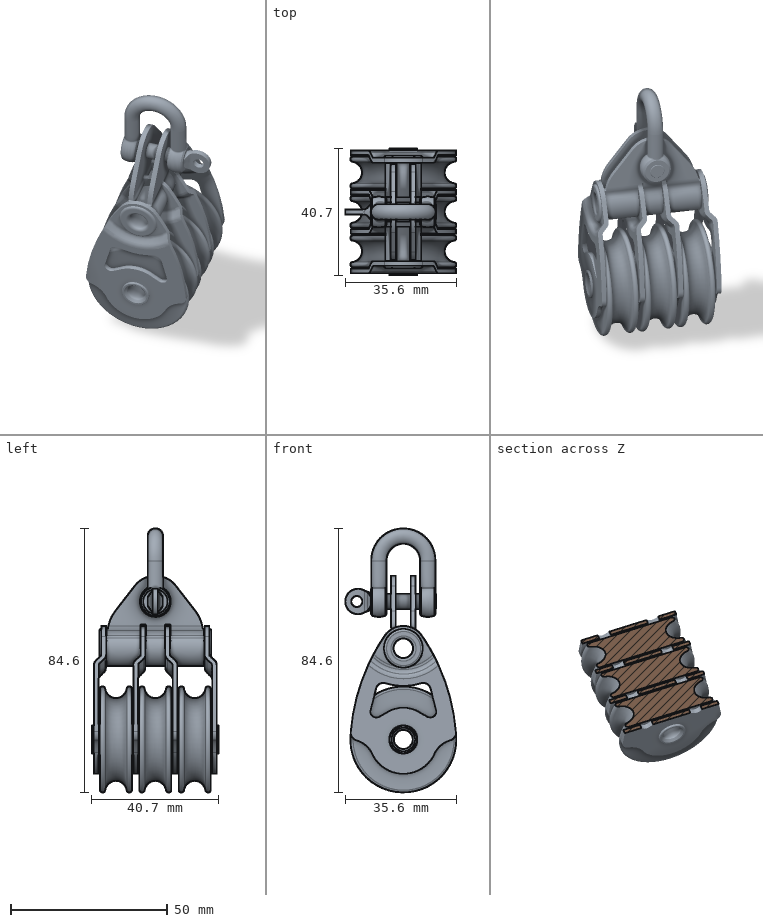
import cadquery as cq
import math


PICK_MARGIN = 0.1

SHEAVE_RADIUS = 17.0
SHEAVE_WIDTH = 10.3
SHEAVE_PITCH = 12.6
GROOVE_HALF_WIDTH = 3.4
GROOVE_DEPTH = 3.7
FLANGE_WIDTH = SHEAVE_WIDTH / 2 - GROOVE_HALF_WIDTH
RIM_RADIUS = 0.85

BLOCK_WIDTH = 40.7
AXLE_BORE = 6.0
AXLE_COUNTERSINK = 0.8
AXLE_HEAD_DIAMETER = 9.05
AXLE_HEAD_CHAMFER = 0.2
HUB_DIAMETER = 10.0

PLATE_THICKNESS = 1.5
PLATE_OFFSETS = (SHEAVE_PITCH / 2, 1.5 * SHEAVE_PITCH)
PLATE_JOG = 2.4
PLATE_TOP_RADIUS = 7.2
PLATE_TOP_TANGENT_ANGLE = 32.8
PLATE_HALF_WIDTH = 16.8
PLATE_SHOULDER_HEIGHT = 2.7
PLATE_BOTTOM_RADIUS = 11.0
PLATE_BOTTOM_TANGENT_ANGLE = 22.0
PLATE_SIDE_MIDDLE = (13.1, 19.4)
SHOULDER_MIDDLE = (16.4, 0.8)
SHOULDER_END = (15.4, -0.2)
WAIST_MIDDLE = (12.3, -1.7)
BEND_AXIS_HEIGHT = 36.2
BEND_START_RADIUS = 13.45
BEND_ANGLE = 45.0
BEND_INNER_RADIUS = 1.1
BEND_OUTER_RADIUS = 2.1

WINDOW_TOP_RADIUS = 19.1
WINDOW_TOP_HALF_WIDTH = 8.0
WINDOW_TOP_FILLET = 2.4
WINDOW_BOTTOM_RADIUS = 10.15
WINDOW_BOTTOM_HALF_WIDTH = 5.9
LOBE_X = 8.6
LOBE_Z = 9.0
LOBE_RADIUS = 1.95
LOBE_END_ANGLE = 50.0

TUBE_HEIGHT = 29.2
TUBE_DIAMETER = 8.2
TUBE_BORE = 6.2
TUBE_LENGTH = 35.9
TUBE_HEAD_DIAMETER = 12.4
TUBE_HEAD_FILLET = 0.8
TUBE_BORE_FILLET = 0.9

STRAP_THICKNESS = 1.6
STRAP_HALF_LENGTH = 15.65
EAR_OUTER_X = 4.0
EAR_BASE_HEIGHT = 35.4
EAR_BASE_HALF_WIDTH = 15.2
EAR_TOP_RADIUS = 8.3
EAR_EDGE_ANGLE = 37.8
EAR_EDGE_END_HEIGHT = 41.2
WRAP_END_ANGLE = 37.0
NECK_FLAT = 0.9
NECK_LEAN = 17.5
NECK_RADIUS = 1.7
SLOT_WIDTH = 1.8
SLOT_TOP = 36.8
SLOT_CORNER = 0.4

PIN_HEIGHT = 44.15
PIN_DIAMETER = 5.0
PIN_END_X = 10.6
PIN_END_CHAMFER = 0.3
BOW_WIRE = 5.0
BOW_RADIUS = 7.82
BOW_HEIGHT = 57.25
EYE_DIAMETER = 10.0
EYE_WIDTH = 5.2
EYE_CROWN_HALF_WIDTH = 2.1
EYE_CROWN_EDGE_RADIUS = 4.6
EYE_FACE_RADIUS = 3.9
JOINT_FILLET = 0.4
JOINT_DEPTH = 1.7
TAB_DIAMETER = 8.2
TAB_TIP_X = -18.6
TAB_CENTER_X = TAB_TIP_X + TAB_DIAMETER / 2
TAB_HOLE_X = -14.9
TAB_HOLE = 3.5
TAB_THICKNESS = 1.7
TAB_ROOT_DIAMETER = 5.5
TAB_TAPER_START = 1.3
FLARE_START_X = -12.5
FLARE_RADIUS = 1.3
FLARE_ANGLE = 45.0


def disc(diameter, y_start, y_end, z=0.0):
    """Cylinder along Y between two Y positions, on the plane X = 0."""
    plane = cq.Plane(origin=(0, y_start, z), xDir=(1, 0, 0), normal=(0, 1, 0))
    return cq.Workplane(plane).circle(diameter / 2).extrude(y_end - y_start)


def polar(radius, angle):
    """Point at an angle in degrees round the origin."""
    return (radius * math.cos(math.radians(angle)), radius * math.sin(math.radians(angle)))


def opposite(point):
    """The point mirrored to the other side of the vertical axis."""
    return (-point[0], point[1])


def make_sheave(y):
    """Grooved wheel with round flange rims, centred on a Y position."""
    groove_edge = SHEAVE_RADIUS - RIM_RADIUS
    half_width = SHEAVE_WIDTH / 2
    wheel = (
        cq.Workplane("XY")
        .moveTo(0, -half_width)
        .lineTo(groove_edge, -half_width)
        .threePointArc((SHEAVE_RADIUS, -half_width + FLANGE_WIDTH / 2), (groove_edge, -GROOVE_HALF_WIDTH))
        .threePointArc((SHEAVE_RADIUS - GROOVE_DEPTH, 0), (groove_edge, GROOVE_HALF_WIDTH))
        .threePointArc((SHEAVE_RADIUS, half_width - FLANGE_WIDTH / 2), (groove_edge, half_width))
        .lineTo(0, half_width)
        .close()
        .revolve(360, (0, 0, 0), (0, 1, 0))
    )
    return wheel.translate((0, y, 0))


def plate_outline():
    """Teardrop outline of a cheek plate, extruded through the whole block."""
    tangent_x, tangent_rise = polar(PLATE_TOP_RADIUS, PLATE_TOP_TANGENT_ANGLE)
    tangent_z = TUBE_HEIGHT + tangent_rise
    waist_x, waist_z = polar(PLATE_BOTTOM_RADIUS, -PLATE_BOTTOM_TANGENT_ANGLE)
    return (
        cq.Workplane("XZ", origin=(0, BLOCK_WIDTH / 2, 0))
        .moveTo(-tangent_x, tangent_z)
        .threePointArc((0, TUBE_HEIGHT + PLATE_TOP_RADIUS), (tangent_x, tangent_z))
        .threePointArc(PLATE_SIDE_MIDDLE, (PLATE_HALF_WIDTH, PLATE_SHOULDER_HEIGHT))
        .threePointArc(SHOULDER_MIDDLE, SHOULDER_END)
        .threePointArc(WAIST_MIDDLE, (waist_x, waist_z))
        .threePointArc((0, -PLATE_BOTTOM_RADIUS), (-waist_x, waist_z))
        .threePointArc(opposite(WAIST_MIDDLE), opposite(SHOULDER_END))
        .threePointArc(opposite(SHOULDER_MIDDLE), (-PLATE_HALF_WIDTH, PLATE_SHOULDER_HEIGHT))
        .threePointArc(opposite(PLATE_SIDE_MIDDLE), (-tangent_x, tangent_z))
        .close()
        .extrude(BLOCK_WIDTH)
    )


def plate_window():
    """Bean-shaped cutter above the axle, extruded through the whole block."""
    top_z = BEND_AXIS_HEIGHT - math.sqrt(WINDOW_TOP_RADIUS**2 - WINDOW_TOP_HALF_WIDTH**2)
    bottom_z = math.sqrt(WINDOW_BOTTOM_RADIUS**2 - WINDOW_BOTTOM_HALF_WIDTH**2)
    lobe_middle_x, lobe_middle_z = polar(LOBE_RADIUS, -LOBE_END_ANGLE)
    lobe_end = (LOBE_X - lobe_middle_x, LOBE_Z + lobe_middle_z)
    lobe_middle = (LOBE_X + lobe_middle_x, LOBE_Z + lobe_middle_z)
    window = (
        cq.Workplane("XZ", origin=(0, BLOCK_WIDTH / 2, 0))
        .moveTo(-WINDOW_TOP_HALF_WIDTH, top_z)
        .threePointArc((0, BEND_AXIS_HEIGHT - WINDOW_TOP_RADIUS), (WINDOW_TOP_HALF_WIDTH, top_z))
        .lineTo(LOBE_X + LOBE_RADIUS, LOBE_Z)
        .threePointArc(lobe_middle, lobe_end)
        .lineTo(WINDOW_BOTTOM_HALF_WIDTH, bottom_z)
        .threePointArc((0, WINDOW_BOTTOM_RADIUS), (-WINDOW_BOTTOM_HALF_WIDTH, bottom_z))
        .lineTo(*opposite(lobe_end))
        .threePointArc(opposite(lobe_middle), (-LOBE_X - LOBE_RADIUS, LOBE_Z))
        .close()
        .extrude(BLOCK_WIDTH)
    )
    top_corners = cq.selectors.BoxSelector(
        (-PLATE_HALF_WIDTH, -BLOCK_WIDTH, top_z - PICK_MARGIN),
        (PLATE_HALF_WIDTH, BLOCK_WIDTH, top_z + PICK_MARGIN),
    )
    return window.edges("|Y").edges(top_corners).fillet(WINDOW_TOP_FILLET)


def make_plate(lower_y):
    """Cheek plate on the +Y side, stepped towards Y = 0 at its top by a curved bend."""
    upper_y = lower_y - PLATE_JOG
    half = PLATE_THICKNESS / 2
    bend_end_radius = BEND_START_RADIUS + PLATE_JOG / math.tan(math.radians(BEND_ANGLE))
    back_shift = PLATE_THICKNESS * math.tan(math.radians(BEND_ANGLE / 2))
    outer_radius = BEND_AXIS_HEIGHT + PLATE_HALF_WIDTH
    sheet = (
        cq.Workplane("XY")
        .moveTo(0, upper_y + half)
        .lineTo(BEND_START_RADIUS, upper_y + half)
        .lineTo(bend_end_radius, lower_y + half)
        .lineTo(outer_radius, lower_y + half)
        .lineTo(outer_radius, lower_y - half)
        .lineTo(bend_end_radius + back_shift, lower_y - half)
        .lineTo(BEND_START_RADIUS + back_shift, upper_y - half)
        .lineTo(0, upper_y - half)
        .close()
        .revolve(360, (0, 0, 0), (0, 1, 0))
    )
    bends = (
        (BEND_START_RADIUS, BEND_INNER_RADIUS),
        (bend_end_radius, BEND_OUTER_RADIUS),
        (BEND_START_RADIUS + back_shift, BEND_OUTER_RADIUS),
        (bend_end_radius + back_shift, BEND_INNER_RADIUS),
    )
    for corner_radius, bend_radius in bends:
        circles = sheet.edges("%CIRCLE").vals()
        corner = [edge for edge in circles if abs(edge.radius() - corner_radius) < PICK_MARGIN]
        sheet = sheet.newObject(corner).fillet(bend_radius)
    return sheet.translate((0, 0, BEND_AXIS_HEIGHT)).intersect(plate_outline()).cut(plate_window())


def strap_section(depth):
    """Strap profile at a depth below its outer face, extruded along the head tube."""
    wrap_radius = TUBE_DIAMETER / 2 + STRAP_THICKNESS
    top = PIN_HEIGHT + EAR_TOP_RADIUS
    wrap_x, wrap_rise = polar(wrap_radius, WRAP_END_ANGLE)
    flat_x = wrap_x - NECK_FLAT * math.sin(math.radians(WRAP_END_ANGLE))
    flat_z = TUBE_HEIGHT + wrap_rise + NECK_FLAT * math.cos(math.radians(WRAP_END_ANGLE))
    center_x, center_rise = polar(NECK_RADIUS, WRAP_END_ANGLE)
    lean_x, lean_rise = polar(NECK_RADIUS, -NECK_LEAN)
    neck_x = flat_x + center_x - lean_x
    neck_z = flat_z + center_rise - lean_rise
    ear_bend_radius = (EAR_OUTER_X - neck_x) / (1 - math.cos(math.radians(NECK_LEAN)))
    ear_base_z = neck_z + ear_bend_radius * math.sin(math.radians(NECK_LEAN))
    stations = [
        (EAR_OUTER_X, top, 0),
        (EAR_OUTER_X, ear_base_z, 0),
        (neck_x, neck_z, -NECK_LEAN),
        (flat_x, flat_z, WRAP_END_ANGLE),
        (wrap_x, TUBE_HEIGHT + wrap_rise, WRAP_END_ANGLE),
    ]
    points = []
    for x, z, angle in stations:
        inset_x, inset_z = polar(depth, angle)
        points.append((x - inset_x, z - inset_z))
    ear_top, ear_base, neck, flat, wrap = points
    wrap_bottom = (0, TUBE_HEIGHT - wrap_radius + depth)
    left_top, left_base, left_neck, left_flat, left_wrap = [opposite(point) for point in points]
    return (
        cq.Workplane("XZ", origin=(0, STRAP_HALF_LENGTH, 0))
        .moveTo(*ear_top)
        .lineTo(*ear_base)
        .tangentArcPoint(neck, relative=False)
        .tangentArcPoint(flat, relative=False)
        .lineTo(*wrap)
        .threePointArc(wrap_bottom, left_wrap)
        .lineTo(*left_flat)
        .tangentArcPoint(left_neck, relative=False)
        .tangentArcPoint(left_base, relative=False)
        .lineTo(*left_top)
        .close()
        .extrude(2 * STRAP_HALF_LENGTH)
    )


def ear_outline():
    """Side outline of the strap: triangular ears above a full-length wrap."""
    edge_y, edge_rise = polar(EAR_TOP_RADIUS, EAR_EDGE_ANGLE)
    edge_z = PIN_HEIGHT + edge_rise
    edge_end_y = edge_y + (edge_z - EAR_EDGE_END_HEIGHT) * math.tan(math.radians(EAR_EDGE_ANGLE))
    arc_middle_y, arc_middle_rise = polar(EAR_TOP_RADIUS, (90 + EAR_EDGE_ANGLE) / 2)
    wrap_bottom = TUBE_HEIGHT - TUBE_DIAMETER
    return (
        cq.Workplane("YZ", origin=(-TUBE_DIAMETER, 0, 0))
        .moveTo(0, PIN_HEIGHT + EAR_TOP_RADIUS)
        .threePointArc((arc_middle_y, PIN_HEIGHT + arc_middle_rise), (edge_y, edge_z))
        .lineTo(edge_end_y, EAR_EDGE_END_HEIGHT)
        .tangentArcPoint((EAR_BASE_HALF_WIDTH, EAR_BASE_HEIGHT), relative=False)
        .lineTo(STRAP_HALF_LENGTH, EAR_BASE_HEIGHT)
        .lineTo(STRAP_HALF_LENGTH, wrap_bottom)
        .lineTo(0, wrap_bottom)
        .mirrorY()
        .extrude(2 * TUBE_DIAMETER)
    )


def make_strap():
    """Strap bent round the head tube, slotted for the inner cheek plates."""
    strap = strap_section(0).cut(strap_section(STRAP_THICKNESS)).intersect(ear_outline())
    slot_height = SLOT_TOP - TUBE_HEIGHT
    slot_y = PLATE_OFFSETS[0] - PLATE_JOG
    for side in (-1, 1):
        slot = (
            cq.Workplane("XY")
            .box(2 * TUBE_DIAMETER, SLOT_WIDTH, slot_height)
            .edges("|X and >Z")
            .fillet(SLOT_CORNER)
            .translate((0, side * slot_y, TUBE_HEIGHT + slot_height / 2))
        )
        strap = strap.cut(slot)
    pin_hole = (
        cq.Workplane("YZ", origin=(-TUBE_DIAMETER, 0, PIN_HEIGHT))
        .circle(PIN_DIAMETER / 2)
        .extrude(2 * TUBE_DIAMETER)
    )
    return strap.cut(pin_hole)


def bore_mouths(block, diameter, half_length, z):
    """The two end circles of a through bore along Y."""
    reach = diameter / 2 + PICK_MARGIN
    end = half_length + PICK_MARGIN
    mouths = cq.selectors.BoxSelector((-reach, -end, z - reach), (reach, end, z + reach), True)
    return block.edges("%CIRCLE").edges(mouths).vals()


def make_block():
    """Sheaves, axle, cheek plates, head tube and strap as one solid."""
    half_width = BLOCK_WIDTH / 2
    block = disc(HUB_DIAMETER, -PLATE_OFFSETS[1], PLATE_OFFSETS[1])
    head = disc(AXLE_HEAD_DIAMETER, -half_width, half_width).faces("<Y or >Y").chamfer(AXLE_HEAD_CHAMFER)
    block = block.union(head)
    for step in (-1, 0, 1):
        block = block.union(make_sheave(step * SHEAVE_PITCH))
    tube_half = TUBE_LENGTH / 2
    tube = disc(TUBE_DIAMETER, -tube_half, tube_half, TUBE_HEIGHT)
    block = block.union(tube)
    block = block.union(make_strap())
    tube_head = disc(TUBE_HEAD_DIAMETER, PLATE_OFFSETS[1] - PLATE_JOG, tube_half, TUBE_HEIGHT)
    tube_head = tube_head.faces(">Y").edges().fillet(TUBE_HEAD_FILLET)
    block = block.union(tube_head).union(tube_head.mirror("XZ"))
    for offset in PLATE_OFFSETS:
        plate = make_plate(offset)
        block = block.union(plate).union(plate.mirror("XZ"))
    axle_bore = disc(AXLE_BORE, -half_width, half_width)
    tube_bore = disc(TUBE_BORE, -tube_half, tube_half, TUBE_HEIGHT)
    block = block.cut(axle_bore).cut(tube_bore)
    axle_mouths = bore_mouths(block, AXLE_BORE, half_width, 0)
    block = block.newObject(axle_mouths).chamfer(AXLE_COUNTERSINK)
    tube_mouths = bore_mouths(block, TUBE_BORE, tube_half, TUBE_HEIGHT)
    return block.newObject(tube_mouths).fillet(TUBE_BORE_FILLET)


def make_eye():
    """Barrel-shaped eye about the X axis, with a crowned rim and softened face edges."""
    half_width = EYE_WIDTH / 2
    return (
        cq.Workplane("XY")
        .moveTo(-half_width, 0)
        .lineTo(-half_width, EYE_FACE_RADIUS)
        .lineTo(-EYE_CROWN_HALF_WIDTH, EYE_CROWN_EDGE_RADIUS)
        .threePointArc((0, EYE_DIAMETER / 2), (EYE_CROWN_HALF_WIDTH, EYE_CROWN_EDGE_RADIUS))
        .lineTo(half_width, EYE_FACE_RADIUS)
        .lineTo(half_width, 0)
        .close()
        .revolve(360, (0, 0, 0), (1, 0, 0))
    )


def make_shackle():
    """Bow with two eyes, and the pin with its pierced tab, as one solid."""
    bow = (
        cq.Workplane("XY", origin=(-BOW_RADIUS, 0, PIN_HEIGHT))
        .circle(BOW_WIRE / 2)
        .sweep(
            cq.Workplane("XZ")
            .moveTo(-BOW_RADIUS, PIN_HEIGHT)
            .lineTo(-BOW_RADIUS, BOW_HEIGHT)
            .threePointArc((0, BOW_HEIGHT + BOW_RADIUS), (BOW_RADIUS, BOW_HEIGHT))
            .lineTo(BOW_RADIUS, PIN_HEIGHT)
        )
    )
    for x in (-BOW_RADIUS, BOW_RADIUS):
        eye = make_eye().translate((x, 0, PIN_HEIGHT))
        bow = bow.union(eye)
    eye_top = PIN_HEIGHT + EYE_DIAMETER / 2
    bow_reach = BOW_RADIUS + BOW_WIRE
    joint_zone = cq.selectors.BoxSelector(
        (-bow_reach, -BOW_WIRE, eye_top - JOINT_DEPTH), (bow_reach, BOW_WIRE, eye_top)
    )
    bow = bow.edges(joint_zone).edges("not %CIRCLE").fillet(JOINT_FILLET)
    pin = (
        cq.Workplane("YZ", origin=(-BOW_RADIUS, 0, PIN_HEIGHT))
        .circle(PIN_DIAMETER / 2)
        .extrude(PIN_END_X + BOW_RADIUS)
        .faces(">X")
        .chamfer(PIN_END_CHAMFER)
    )
    return bow.union(pin).union(make_tab())


def make_tab():
    """Flat pierced tab of the pin, flaring into a round root at the eye."""
    root_x = -BOW_RADIUS - EYE_WIDTH / 2
    root_radius = TAB_ROOT_DIAMETER / 2
    tab_plane = cq.Workplane("XZ", origin=(0, TAB_THICKNESS / 2, PIN_HEIGHT))
    tab = tab_plane.center(TAB_CENTER_X, 0).circle(TAB_DIAMETER / 2).extrude(TAB_THICKNESS)
    shoulder_x = TAB_CENTER_X + TAB_TAPER_START
    shoulder_z = math.sqrt((TAB_DIAMETER / 2) ** 2 - (shoulder_x - TAB_CENTER_X) ** 2)
    taper = (
        cq.Workplane("XY", origin=(0, 0, PIN_HEIGHT))
        .moveTo(shoulder_x, 0)
        .lineTo(shoulder_x, shoulder_z)
        .lineTo(root_x, root_radius)
        .lineTo(root_x, 0)
        .close()
        .revolve(360, (0, 0, 0), (1, 0, 0))
    )
    slab = tab_plane.center(TAB_CENTER_X, 0).rect(2 * TAB_DIAMETER, TAB_DIAMETER).extrude(TAB_THICKNESS)
    neck = taper.intersect(slab)
    flare_run, flare_height = polar(FLARE_RADIUS, 90 - FLARE_ANGLE)
    cone_x = FLARE_START_X + flare_run
    cone_y = TAB_THICKNESS / 2 + FLARE_RADIUS - flare_height
    cone_end_y = cone_y + (root_x - cone_x) * math.tan(math.radians(FLARE_ANGLE))
    mid_run, mid_height = polar(FLARE_RADIUS, 90 - FLARE_ANGLE / 2)
    arc_middle = (FLARE_START_X + mid_run, TAB_THICKNESS / 2 + FLARE_RADIUS - mid_height)
    flare = (
        cq.Workplane("XY", origin=(0, 0, PIN_HEIGHT))
        .moveTo(FLARE_START_X, 0)
        .lineTo(FLARE_START_X, TAB_THICKNESS / 2)
        .threePointArc(arc_middle, (cone_x, cone_y))
        .lineTo(root_x, cone_end_y)
        .lineTo(root_x, 0)
        .mirrorX()
        .extrude(TAB_DIAMETER / 2, both=True)
        .intersect(taper)
    )
    shank = (
        cq.Workplane("YZ", origin=(root_x, 0, PIN_HEIGHT)).circle(root_radius).extrude(EYE_WIDTH / 2)
    )
    hole = tab_plane.center(TAB_HOLE_X, 0).circle(TAB_HOLE / 2).extrude(TAB_THICKNESS)
    return tab.union(neck).union(flare).union(shank).cut(hole)


block = make_block()
shackle = make_shackle()
result = cq.Compound.makeCompound([block.val(), shackle.val()])